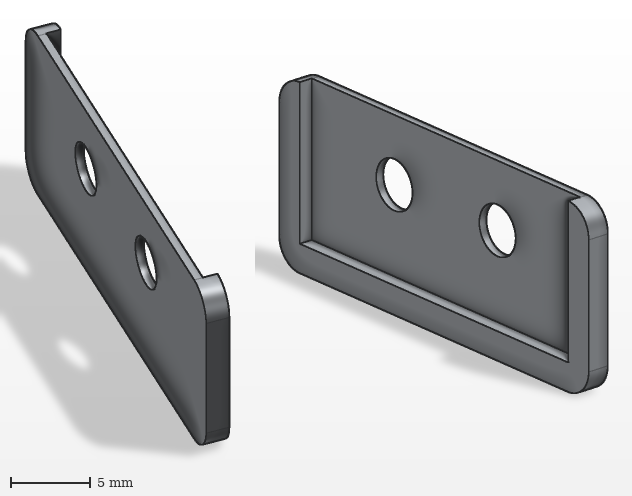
import cadquery as cq

length = 30.0
depth = 1.6
height = 13.0

plate_thickness = 0.6
corner_radius = 2.0
rim_width = corner_radius

hole_diameter = 3.5
hole_spacing = 10.0
hole_edge_gap = 3.0
hole_height = height / 2 - hole_edge_gap - hole_diameter / 2


def rounded_block():
    """Full-depth block, centred on the origin, with rounded corners in XZ."""
    return cq.Workplane("XY").box(length, depth, height).edges("|Y").fillet(corner_radius)


def rear_recess():
    """Pocket behind the plate, running out through the top edge."""
    recess_height = height - rim_width
    return (
        cq.Workplane("XY")
        .box(length - 2 * rim_width, depth - plate_thickness, recess_height)
        .translate((0, plate_thickness / 2, rim_width / 2))
    )


def plate_holes():
    """Pair of cylinders along Y, symmetric about the middle of the length."""
    return (
        cq.Workplane("XZ")
        .pushPoints([(side * hole_spacing / 2, hole_height) for side in (-1, 1)])
        .circle(hole_diameter / 2)
        .extrude(depth / 2, both=True)
    )


result = rounded_block().cut(rear_recess()).cut(plate_holes())